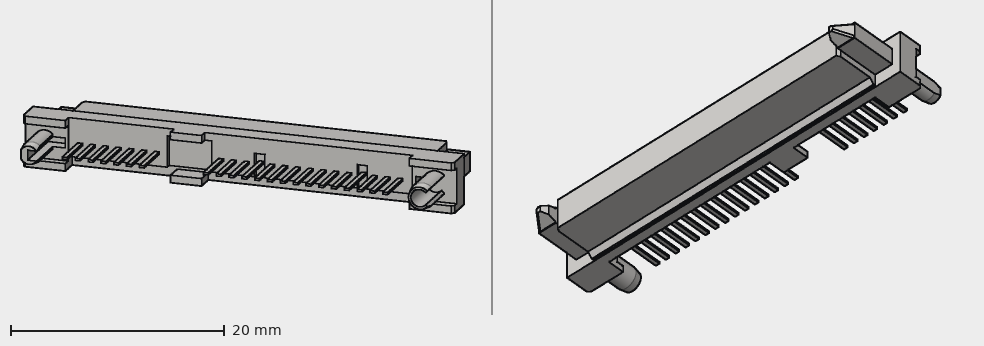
import cadquery as cq
import math

mating_center_x = -0.1

flange_length = 42.75
flange_height = 5.0
end_face_y = -2.2
middle_face_y = -2.05
middle_length = 34.1
underside_step_z = -1.32
underside_face_y = -1.05

foot_end_y = -3.0
foot_inner_z = 1.75
foot_corner_chamfer = 0.25
center_foot_x = -5.15
center_foot_width = 3.08

recess_floor_y = -1.5
center_recess_width = 4.4
groove_width = 1.03
groove_top_z = 1.0
groove_centers_x = (1.8, 11.95)

blade_length = 36.15
blade_height = 3.5
blade_end_y = 5.13
blade_corner_x = 0.2
blade_corner_y = 0.4
collar_height = 4.6
collar_flat_y = 0.2
collar_end_y = 0.73
arm_width = 2.2
arm_height = 1.92
arm_tip_y = 6.8
arm_tip_base_height = 1.75
arm_tip_height = 0.7
arm_tip_inset = 0.43
arm_tip_width = 0.5
arm_tip_shoulder_y = 6.1
arm_tip_chamfer = 0.15

pin_place_count = 26
empty_places = range(7, 11)
pin_row_length = 31.75
pin_pitch = pin_row_length / (pin_place_count - 1)
first_pin_x = -16.0
pin_width = 0.45
pin_height = 0.2
pin_end_y = -6.45

peg_end_y = -6.75
peg_tip_length = 0.9
peg_tip_taper = 0.15
left_peg_x = -19.45
left_peg_radius = 1.05
left_peg_width = 1.6
right_peg_x = 19.25
right_peg_radius = 2.5 / 2
right_peg_bore_radius = 0.85
right_peg_opening_half_angle = math.radians(45)
slot_height = 1.0
slot_depth = 1.3
left_slot_x = (-19.55, -17.45)
right_slot_x = (17.3, 18.3)


def block(x_range, y_range, z_range):
    """Box between two limits on each axis."""
    ranges = (x_range, y_range, z_range)
    size = [max(r) - min(r) for r in ranges]
    corner = [min(r) for r in ranges]
    return cq.Workplane("XY").box(*size, centered=False).translate(tuple(corner))


def span(center, width):
    """Limits of a width placed about a centre."""
    return (center - width / 2, center + width / 2)


def extrude_plan(points, height):
    """Solid from an outline in XY, centred on Z = 0."""
    return cq.Workplane("XY").polyline(points).close().extrude(height / 2, both=True)


def extrude_section(points, x_range):
    """Solid from an outline in YZ, running along X."""
    length = x_range[1] - x_range[0]
    return cq.Workplane("YZ").workplane(offset=x_range[0]).polyline(points).close().extrude(length)


full_length = span(0, flange_length)
full_height = span(0, flange_height)
foot_gap_height = span(0, 2 * foot_inner_z)
middle_x = span(mating_center_x, middle_length)
center_foot_span = span(center_foot_x, center_foot_width)
blade_x = span(mating_center_x, blade_length)


def make_flange():
    flange = block(full_length, (foot_end_y, 0), full_height)
    flange = flange.edges("|Z and <Y").chamfer(foot_corner_chamfer)

    flange = flange.cut(block(full_length, (foot_end_y, end_face_y), foot_gap_height))

    middle_cut = block(middle_x, (foot_end_y, middle_face_y), full_height)
    center_feet = block(center_foot_span, (foot_end_y, middle_face_y), full_height)
    center_feet = center_feet.cut(block(center_foot_span, (foot_end_y, middle_face_y), foot_gap_height))
    flange = flange.cut(middle_cut.cut(center_feet))

    step_y = (middle_face_y, underside_face_y)
    bottom_z = -flange_height / 2
    step = block(middle_x, step_y, (bottom_z, underside_step_z))
    foot_root = block(center_foot_span, step_y, (bottom_z, -foot_inner_z))
    flange = flange.cut(step.cut(foot_root))

    recess_y = (middle_face_y, recess_floor_y)
    recess_x = span(center_foot_x, center_recess_width)
    flange = flange.cut(block(recess_x, recess_y, (underside_step_z, foot_inner_z)))
    for groove_x in groove_centers_x:
        groove_z = (underside_step_z, groove_top_z)
        flange = flange.cut(block(span(groove_x, groove_width), recess_y, groove_z))
    return flange


def make_blade():
    left, right = blade_x
    shoulder_y = blade_end_y - blade_corner_y
    blade = extrude_plan(
        [
            (left, 0),
            (right, 0),
            (right, shoulder_y),
            (right - blade_corner_x, blade_end_y),
            (left + blade_corner_x, blade_end_y),
            (left, shoulder_y),
        ],
        blade_height,
    )
    collar = extrude_section(
        [
            (0, -collar_height / 2),
            (collar_flat_y, -collar_height / 2),
            (collar_end_y, -blade_height / 2),
            (collar_end_y, blade_height / 2),
            (collar_flat_y, collar_height / 2),
            (0, collar_height / 2),
        ],
        blade_x,
    )
    return blade.union(collar)


def make_arm():
    """Left guide arm with its tapered tip."""
    inner_x = blade_x[0]
    outer_x = inner_x - arm_width
    tip_x = inner_x - arm_tip_inset
    arm = block((outer_x, inner_x), (0, blade_end_y), span(0, arm_height))
    tip_plan = extrude_plan(
        [
            (outer_x, blade_end_y),
            (inner_x, blade_end_y),
            (inner_x, arm_tip_shoulder_y),
            (tip_x, arm_tip_y),
            (tip_x - arm_tip_width, arm_tip_y),
        ],
        arm_height,
    )
    tip_taper = extrude_section(
        [
            (blade_end_y, -arm_tip_base_height / 2),
            (arm_tip_y, -arm_tip_height / 2),
            (arm_tip_y, arm_tip_height / 2),
            (blade_end_y, arm_tip_base_height / 2),
        ],
        (outer_x, inner_x),
    )
    tip = tip_plan.intersect(tip_taper)
    tip_middle_y = (blade_end_y + arm_tip_y) / 2
    outer_slope = tip.faces(cq.selectors.NearestToPointSelector((outer_x, tip_middle_y, 0)))
    tip = outer_slope.edges("not |Z").chamfer(arm_tip_chamfer)
    return arm.union(tip)


def make_pins():
    pins = cq.Workplane("XY")
    for place in range(pin_place_count):
        if place in empty_places:
            continue
        pin_x = first_pin_x + place * pin_pitch
        pins = pins.union(
            block(span(pin_x, pin_width), (pin_end_y, underside_face_y), span(0, pin_height))
        )
    return pins


def make_round_peg(center_x, radius):
    """Round peg with a tapered tip."""
    tip_start_y = peg_end_y + peg_tip_length
    outline = [
        (0, end_face_y),
        (radius, end_face_y),
        (radius, tip_start_y),
        (radius - peg_tip_taper, peg_end_y),
        (0, peg_end_y),
    ]
    peg = cq.Workplane("XY").polyline(outline).close().revolve(360, (0, 0, 0), (0, 1, 0))
    return peg.translate((center_x, 0, 0))


def make_left_peg():
    """Peg with flat sides."""
    between_flats = block(span(left_peg_x, left_peg_width), (peg_end_y, end_face_y), full_height)
    return make_round_peg(left_peg_x, left_peg_radius).intersect(between_flats)


def make_right_peg():
    """Bored peg with a wedge opening towards +X."""
    peg_length = end_face_y - peg_end_y
    root = cq.Workplane("XZ", origin=(right_peg_x, end_face_y, 0))
    bore = root.circle(right_peg_bore_radius).extrude(peg_length)
    wedge_rise = right_peg_radius * math.tan(right_peg_opening_half_angle)
    wedge_points = [(0, 0), (right_peg_radius, wedge_rise), (right_peg_radius, -wedge_rise)]
    wedge = root.polyline(wedge_points).close().extrude(peg_length)
    return make_round_peg(right_peg_x, right_peg_radius).cut(bore).cut(wedge)


slot_floor_y = end_face_y + slot_depth
left_slot = block(left_slot_x, (peg_end_y, slot_floor_y), span(0, slot_height))
right_slot = block(right_slot_x, (end_face_y, slot_floor_y), span(0, slot_height))

left_arm = make_arm()
right_arm = left_arm.mirror("YZ", (mating_center_x, 0, 0))

result = (
    make_flange()
    .cut(right_slot)
    .union(make_blade())
    .union(left_arm)
    .union(right_arm)
    .union(make_pins())
    .union(make_left_peg())
    .cut(left_slot)
    .union(make_right_peg())
)